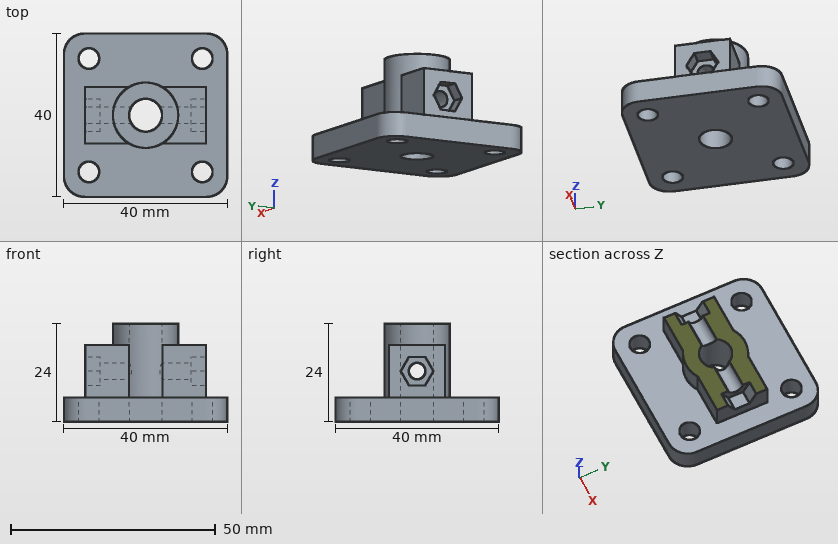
import cadquery as cq

plate_side = 40.0
plate_thickness = 6.0
corner_radius = 5.1
mount_hole_diameter = 5.0
mount_hole_pitch = 27.7

boss_diameter = 16.0
bore_diameter = 8.0
total_height = 24.0

block_length = 29.6
block_width = 13.75
block_height = 12.8

screw_diameter = 4.0
nut_across_corners = 8.0
nut_pocket_depth = 3.7
screw_axis_z = plate_thickness + block_height / 2


def make_plate():
    plate = cq.Workplane("XY").box(plate_side, plate_side, plate_thickness, centered=(True, True, False))
    plate = plate.edges("|Z").fillet(corner_radius)
    return (
        plate.faces(">Z")
        .workplane()
        .rect(mount_hole_pitch, mount_hole_pitch, forConstruction=True)
        .vertices()
        .hole(mount_hole_diameter)
    )


def make_block():
    top_of_plate = cq.Workplane("XY").workplane(offset=plate_thickness)
    return top_of_plate.rect(block_length, block_width).extrude(block_height)


def make_nut_pocket(end):
    """Hexagonal pocket in the block end at -X (end = -1) or +X (end = 1)."""
    return (
        cq.Workplane("YZ", origin=(end * block_length / 2, 0, screw_axis_z))
        .polygon(6, nut_across_corners)
        .extrude(-end * nut_pocket_depth)
    )


boss = cq.Workplane("XY").circle(boss_diameter / 2).extrude(total_height)
bore = cq.Workplane("XY").circle(bore_diameter / 2).extrude(total_height)
screw_hole = (
    cq.Workplane("YZ", origin=(0, 0, screw_axis_z))
    .circle(screw_diameter / 2)
    .extrude(block_length / 2, both=True)
)

result = make_plate().union(make_block()).union(boss).cut(bore).cut(screw_hole)
for end in (-1, 1):
    result = result.cut(make_nut_pocket(end))